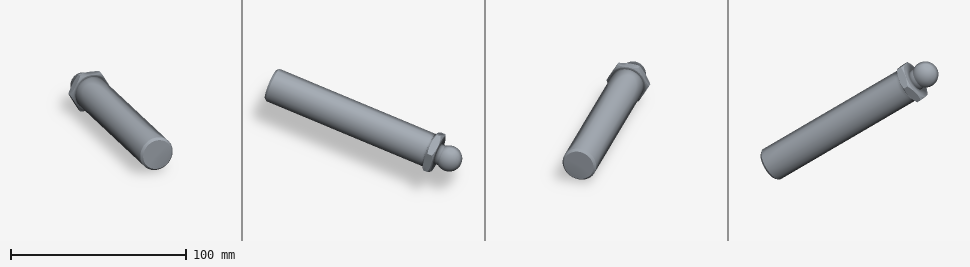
import cadquery as cq
import math

total_length = 119.0
ball_diameter = 15.0
neck_diameter = 12.0
hex_start = 14.5
hex_thickness = 4.8
relief_width = 0.7
body_diameter = 20.0
relief_diameter = 19.3

end_bevel_length = 1.4
end_bevel_depth = 1.2

hex_across_flats = 22.0
hex_across_corners = hex_across_flats / math.cos(math.radians(30))
bevel_face_diameter = 21.8
bevel_angle = 30.0

hex_end = hex_start + hex_thickness
body_start = hex_end + relief_width


def make_cylinder(diameter, start, end):
    """Cylinder on the X axis between two positions."""
    return cq.Workplane("YZ", origin=(start, 0, 0)).circle(diameter / 2).extrude(end - start)


def make_ball_stud():
    """Ball on a neck that reaches into the hexagon."""
    ball_radius = ball_diameter / 2
    ball = cq.Workplane("XY").sphere(ball_radius).translate((ball_radius, 0, 0))
    return ball.union(make_cylinder(neck_diameter, ball_radius, hex_end))


def make_hexagon():
    """Hexagon with corners on the Y axis, bevelled on both faces."""
    prism = (
        cq.Workplane("YZ", origin=(hex_start, 0, 0))
        .polygon(6, hex_across_corners)
        .extrude(hex_thickness)
    )
    face_radius = bevel_face_diameter / 2
    corner_radius = hex_across_corners / 2
    bevel_length = (corner_radius - face_radius) * math.tan(math.radians(bevel_angle))
    bevel_envelope = (
        cq.Workplane("XY")
        .moveTo(hex_start, 0)
        .lineTo(hex_start, face_radius)
        .lineTo(hex_start + bevel_length, corner_radius)
        .lineTo(hex_end - bevel_length, corner_radius)
        .lineTo(hex_end, face_radius)
        .lineTo(hex_end, 0)
        .close()
        .revolve(360, (0, 0, 0), (1, 0, 0))
    )
    return prism.intersect(bevel_envelope)


def make_body():
    """Round body with a shallow relief at the hexagon and a bevelled free end."""
    relief_radius = relief_diameter / 2
    body_radius = body_diameter / 2
    return (
        cq.Workplane("XY")
        .moveTo(hex_end, 0)
        .lineTo(hex_end, relief_radius)
        .lineTo(body_start, relief_radius)
        .lineTo(body_start, body_radius)
        .lineTo(total_length - end_bevel_length, body_radius)
        .lineTo(total_length, body_radius - end_bevel_depth)
        .lineTo(total_length, 0)
        .close()
        .revolve(360, (0, 0, 0), (1, 0, 0))
    )


result = make_ball_stud().union(make_hexagon()).union(make_body())